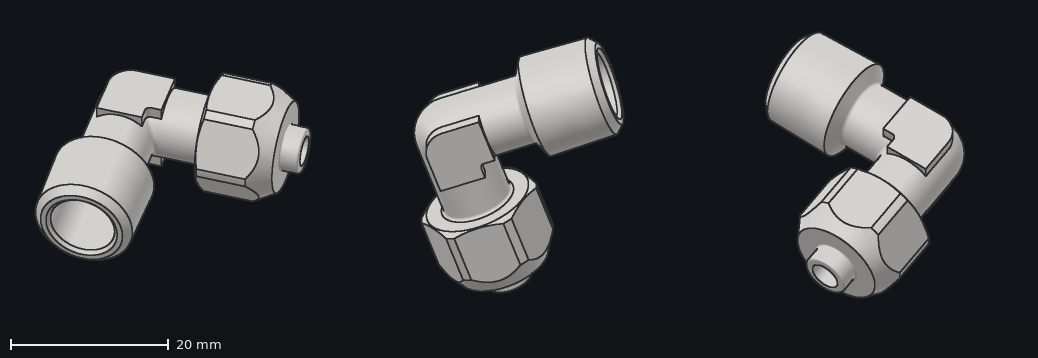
import cadquery as cq
import math

tube_radius = 4.5
root_fillet = 0.5
bend_fillet = 0.6
shoulder_angle = math.radians(30)

pad_height = 5.0
pad_arm_end = 5.0
pad_half_width = 3.0

thread_start = 11.6
thread_length = 9.9
thread_end = thread_start + thread_length
thread_radius = 6.65
thread_small_radius = 6.45
thread_chamfer = 1.0

nut_start = 10.55
nut_neck_radius = 4.87
nut_end = 20.55
nut_across_flats = 14.0
nut_across_corners = nut_across_flats / math.cos(math.pi / 6)
nut_corner_radius = 7.75
nut_inlet_radius = 6.9
nut_outlet_radius = 6.0
nut_chamfer_angle = math.radians(30)

sleeve_radius = 3.0
sleeve_end = 23.03
sleeve_fillet = 0.27

mouth_radius = 4.72
bore_radius = 4.25
bore_end = 12.47
drill_radius = 3.2
drill_tip_half_angle = math.radians(59)
cross_bore_radius = 1.93
drill_tip = 2.67


def flared_tube(flare_end, flare_radius):
    """Half profile of a tube along +X that fillets into a conical shoulder."""
    fillet_turn = math.pi / 2 - shoulder_angle
    cone_radius = tube_radius + root_fillet * (1 - math.cos(fillet_turn))
    cone_start = flare_end - (flare_radius - cone_radius) * math.tan(shoulder_angle)
    straight_length = cone_start - root_fillet * math.sin(fillet_turn)
    fillet_mid = (
        straight_length + root_fillet * math.sin(fillet_turn / 2),
        tube_radius + root_fillet * (1 - math.cos(fillet_turn / 2)),
    )
    return (
        cq.Workplane("XY")
        .lineTo(0, tube_radius)
        .lineTo(straight_length, tube_radius)
        .threePointArc(fillet_mid, (cone_start, cone_radius))
        .lineTo(flare_end, flare_radius)
    )


def make_nut_tube():
    """Tube along +X, flared slightly where it enters the nut."""
    return (
        flared_tube(nut_start, nut_neck_radius)
        .lineTo(nut_start, 0)
        .close()
        .revolve(360, (0, 0), (1, 0))
    )


def make_thread():
    """Shank and tapered thread, revolved along +X and turned to -Y."""
    return (
        flared_tube(thread_start, thread_radius)
        .lineTo(thread_end - thread_chamfer, thread_small_radius)
        .lineTo(thread_end, thread_small_radius - thread_chamfer)
        .lineTo(thread_end, 0)
        .close()
        .revolve(360, (0, 0), (1, 0))
        .rotate((0, 0, 0), (0, 0, 1), -90)
    )


def make_elbow():
    """Join the tubes with a ball corner and round the inside of the bend."""
    corner = cq.Workplane("XY").sphere(tube_radius)
    elbow = make_thread().union(make_nut_tube()).union(corner)
    inner_bend = cq.selectors.BoxSelector(
        (0.3, -0.3, -tube_radius),
        (tube_radius + 0.3, -tube_radius - 0.3, tube_radius),
    )
    return elbow.edges(inner_bend).fillet(bend_fillet)


def make_pads():
    """L-shaped flats with a rounded outer corner and inner notch."""
    pads = (
        cq.Workplane("XY")
        .workplane(offset=-pad_height)
        .moveTo(0, pad_half_width)
        .lineTo(pad_arm_end, pad_half_width)
        .lineTo(pad_arm_end, -pad_half_width)
        .lineTo(pad_half_width, -pad_half_width)
        .lineTo(pad_half_width, -pad_arm_end)
        .lineTo(-pad_half_width, -pad_arm_end)
        .lineTo(-pad_half_width, 0)
        .radiusArc((0, pad_half_width), pad_half_width)
        .close()
        .extrude(2 * pad_height)
    )
    notch = cq.selectors.NearestToPointSelector((pad_half_width, -pad_half_width, 0))
    return pads.edges(notch).fillet(bend_fillet)


def make_nut():
    """Hexagon with flats facing +Z and -Z, trimmed by a turned envelope."""
    inlet_length = (nut_corner_radius - nut_inlet_radius) * math.tan(nut_chamfer_angle)
    outlet_length = (nut_corner_radius - nut_outlet_radius) / math.tan(nut_chamfer_angle)
    hexagon = (
        cq.Workplane("YZ")
        .workplane(offset=nut_start)
        .polygon(6, nut_across_corners)
        .extrude(nut_end - nut_start)
    )
    envelope = (
        cq.Workplane("XY")
        .moveTo(nut_start, 0)
        .lineTo(nut_start, nut_inlet_radius)
        .lineTo(nut_start + inlet_length, nut_corner_radius)
        .lineTo(nut_end - outlet_length, nut_corner_radius)
        .lineTo(nut_end, nut_outlet_radius)
        .lineTo(nut_end, 0)
        .close()
        .revolve(360, (0, 0), (1, 0))
    )
    return hexagon.intersect(envelope)


def make_sleeve():
    """Short tube with a rounded rim and a fillet against the nut."""
    arc_offset = sleeve_fillet * (1 - math.sqrt(0.5))
    return (
        cq.Workplane("XY")
        .moveTo(nut_end, 0)
        .lineTo(nut_end, sleeve_radius + sleeve_fillet)
        .threePointArc(
            (nut_end + arc_offset, sleeve_radius + arc_offset),
            (nut_end + sleeve_fillet, sleeve_radius),
        )
        .lineTo(sleeve_end - sleeve_fillet, sleeve_radius)
        .threePointArc(
            (sleeve_end - arc_offset, sleeve_radius - arc_offset),
            (sleeve_end, sleeve_radius - sleeve_fillet),
        )
        .lineTo(sleeve_end, 0)
        .close()
        .revolve(360, (0, 0), (1, 0))
    )


def make_thread_bore():
    """Stepped bore along Y with a chamfered mouth and drill-point ends."""
    mouth_depth = mouth_radius - bore_radius
    step_length = (bore_radius - drill_radius) / math.tan(drill_tip_half_angle)
    tip_length = drill_radius / math.tan(drill_tip_half_angle)
    return (
        cq.Workplane("XY")
        .moveTo(0, -thread_end)
        .lineTo(mouth_radius, -thread_end)
        .lineTo(bore_radius, -thread_end + mouth_depth)
        .lineTo(bore_radius, -bore_end)
        .lineTo(drill_radius, -bore_end + step_length)
        .lineTo(drill_radius, drill_tip - tip_length)
        .lineTo(0, drill_tip)
        .close()
        .revolve(360, (0, 0), (0, 1))
    )


outside = make_elbow().union(make_nut()).union(make_sleeve()).union(make_pads())
cross_bore = cq.Workplane("YZ").circle(cross_bore_radius).extrude(sleeve_end)
result = outside.cut(make_thread_bore()).cut(cross_bore)